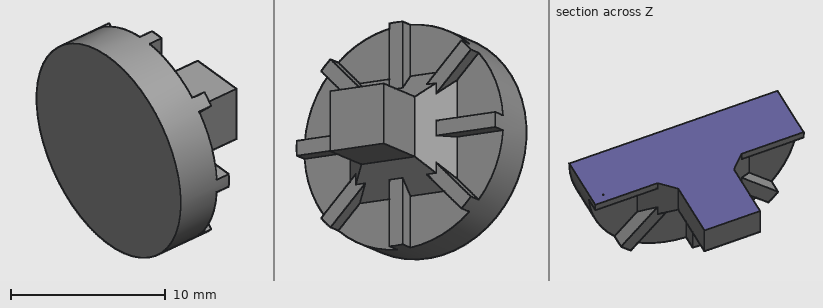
import cadquery as cq

disc_diameter = 14.9
disc_thickness = 3.0

rib_count = 8
rib_width = 1.0
rib_height = 1.0

post_side = 4.0
post_length = 4.0
foot_height = 2.0
foot_base_side = post_side + 2 * foot_height

foot_top = disc_thickness + foot_height


def plane_at(y):
    """Workplane facing +Y at the given distance from the plain face."""
    return cq.Workplane(cq.Plane(origin=(0, y, 0), xDir=(1, 0, 0), normal=(0, 1, 0)))


def make_disc():
    return plane_at(0).circle(disc_diameter / 2).extrude(disc_thickness)


def make_ribs():
    """Bars across the full diameter, trimmed flush with the disc rim."""
    envelope = plane_at(disc_thickness).circle(disc_diameter / 2).extrude(rib_height)
    bar = plane_at(disc_thickness).rect(disc_diameter + rib_width, rib_width).extrude(rib_height)
    bar_count = rib_count // 2
    ribs = bar
    for index in range(1, bar_count):
        angle = index * 180 / bar_count
        ribs = ribs.union(bar.rotate((0, 0, 0), (0, 1, 0), angle))
    return ribs.intersect(envelope)


def make_foot():
    return (
        plane_at(disc_thickness)
        .rect(foot_base_side, foot_base_side)
        .workplane(offset=foot_height)
        .rect(post_side, post_side)
        .loft(ruled=True)
    )


def make_post():
    return plane_at(foot_top).rect(post_side, post_side).extrude(post_length)


result = make_disc().union(make_ribs()).union(make_foot()).union(make_post())